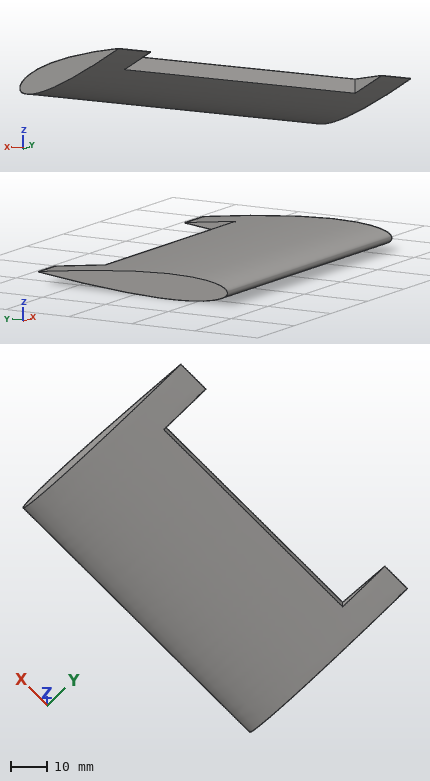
import cadquery as cq
import math

span = 90.0
chord = 60.0
max_thickness = 7.2

left_tab_width = 9.0
right_tab_width = 10.0
notch_depth = 16.0

points_per_side = 30

root_term = 0.2969
power_terms = (-0.126, -0.3516, 0.2843, -0.1015)


def half_thickness(fraction):
    """Half thickness of the profile at a fraction of the chord from the nose."""
    shape = root_term * math.sqrt(fraction)
    for power, coefficient in enumerate(power_terms, start=1):
        shape += coefficient * fraction**power
    return 5 * max_thickness * shape


def surface_points(side):
    """Points from nose to tail on the upper (side=1) or lower (side=-1) surface."""
    points = []
    for i in range(points_per_side + 1):
        fraction = (1 - math.cos(math.pi * i / points_per_side)) / 2
        points.append((chord * fraction, side * half_thickness(fraction)))
    return points


def make_wing():
    """Full wing with its nose at Y = 0 and a thin flat trailing edge."""
    upper = surface_points(1)
    lower = surface_points(-1)
    outline = upper[::-1] + lower[1:]
    profile = cq.Workplane("YZ").moveTo(*outline[0]).spline(outline[1:], includeCurrent=True)
    return profile.close().extrude(span)


def make_notch():
    """Block that removes the trailing edge between the two tabs."""
    notch_width = span - left_tab_width - right_tab_width
    notch = cq.Workplane("XY").box(notch_width, notch_depth, max_thickness, centered=(False, False, True))
    return notch.translate((left_tab_width, chord - notch_depth, 0))


result = make_wing().cut(make_notch())